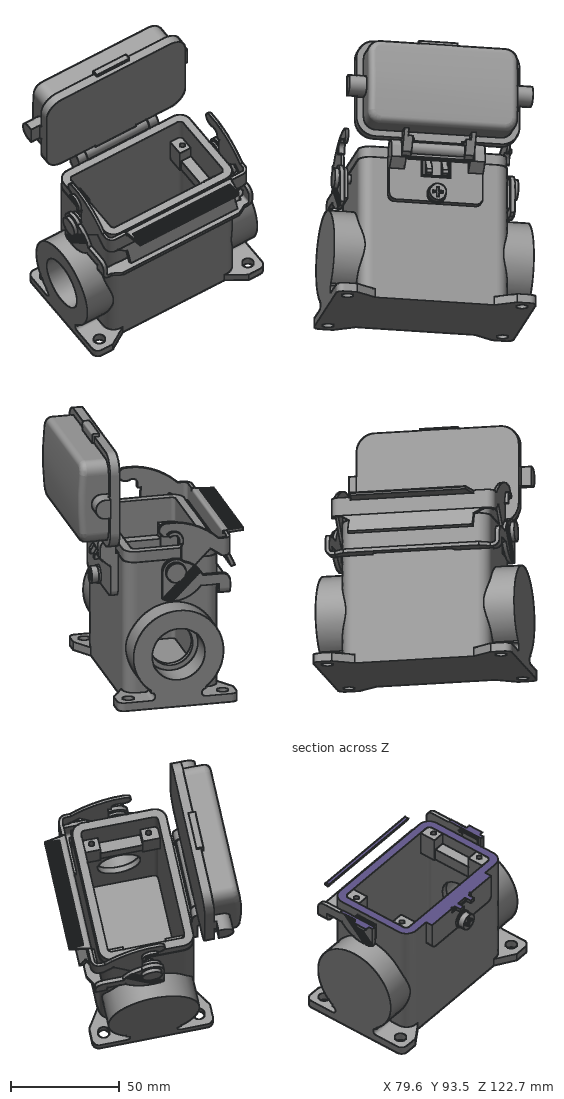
import cadquery as cq
import math


BODY_X, BODY_Y, BODY_TOP = 44.7, 70.0, 73.0
BODY_RADIUS = 5.8
RIM_HEIGHT, RIM_STEP = 5.2, 0.2

BASE_X, TOTAL_Y, BASE_THICK = 56.7, 93.5, 4.0
BASE_RADIUS = 3.2
TAB_END_Y = 37.4
TAB_ROOT_Y = 28.0
SCREW_HOLE_X, SCREW_HOLE_Y, SCREW_HOLE_R = 22.3, 40.9, 2.7
BOSS_R, BOSS_Z = 21.4, 25.7
NECK_X = 22.1
NECK_NOTCH_R = 1.8
BORE_R, BORE_DEPTH, BORE_INNER_R = 12.5, 13.1, 10.1

CAVITY_X, CAVITY_Y, CAVITY_RADIUS = 36.1, 61.6, 1.8
LEDGE_BOTTOM, LEDGE_TOP, POST_TOP = 49.1, 55.2, 61.4
POST_X, POST_Y, LEDGE_Y = 8.1, 6.0, 5.3
POST_HOLE_X, POST_HOLE_Y, POST_HOLE_R, POST_HOLE_DEPTH = 13.4, 28.5, 1.2, 7.4

COVER_BACK_X, FLANGE_THICK = -25.7, 4.5
FLANGE_Y, FLANGE_BOTTOM, FLANGE_TOP, FLANGE_RADIUS = 76.3, 75.4, 121.3, 8.6
COVER_Z = 98.2
CAP_Y, CAP_Z, CAP_RADIUS, CAP_EDGE_RADIUS = 70.0, 39.6, 5.8, 3.0
CAP_END_X, CAP_CROWN_X = -42.7, -44.0
PIN_R, PIN_X, PIN_FLAT_X, PIN_END_Y = 4.5, -33.6, -31.2, 43.0
GRIP_Y, GRIP_FRONT_X, GRIP_BACK_X, GRIP_TOP, GRIP_DROP = 17.9, -31.3, -28.0, 122.7, 4.4
GRIP_RADIUS = 1.0

PLATE_FRONT_X, PLATE_Y, PLATE_BOTTOM, PLATE_TOP, PLATE_RADIUS = -25.8, 43.8, 47.0, 66.8, 3.0
TONGUE_FRONT_X, TONGUE_TOP = -23.7, 68.4
HINGE_X, HINGE_Z, EYE_R, BARREL_R = -27.0, 71.4, 3.7, 3.1
EYE_BACK_X = -23.3
EYE_INNER_Y, EAR_INNER_Y = 17.0, 15.0
ARM_INNER_Y, ARM_UPPER_INNER_Y, ARM_OUTER_Y = 12.5, 14.7, 16.8
LUG_Y, LUG_BOTTOM = 22.3, 74.3
WEB_X, WEB_BOTTOM = 2.5, 67.4
CLIP_Y, CLIP_BOTTOM, CLIP_GROOVE = 13.7, 58.9, 0.6
PRONG_INNER_Y, PRONG_OUTER_Y = 2.5, 5.2
PLATE_SCREW_Z, SCREW_R, WASHER_R = 50.6, 3.9, 4.3
SCREW_FRONT_X, WASHER_FRONT_X = -30.0, -26.8
CROSS_LENGTH, CROSS_WIDTH, CROSS_DEPTH = 4.7, 1.1, 1.0

PIVOT_Z, RIVET_R, RIVET_HEAD_R, RIVET_END_Y = 64.0, 2.1, 4.7, 43.0
CATCH_INNER_Y, CATCH_OUTER_Y = 39.0, 41.0
CATCH_HUB_R = 6.0
NOSE_X, NOSE_INNER_X, NOSE_BEND_R = 26.0, 20.7, 3.2
CROSSBAR_BOTTOM, CROSSBAR_THICK = 50.9, 1.7
LEVER_INNER_Y, LEVER_OUTER_Y, LEVER_HUB_R, LEVER_FOOT = 37.2, 38.5, 5.2, 53.0
BAND_INNER_X, BAND_OUTER_X, BAND_BOTTOM, BAND_TOP = 25.5, 27.2, 69.0, 77.5
BEND_RADIUS = 3.7
HANDLE_END_X, HANDLE_THICK, HANDLE_ROOT_Y, HANDLE_END_Y = 35.6, 1.4, 29.0, 27.1
HANDLE_BEND_R = 1.2
HANDLE_GROOVES, HANDLE_GROOVE_START_X, HANDLE_GROOVE_PITCH = 9, 28.8, 0.7
HANDLE_GROOVE_WIDTH, HANDLE_GROOVE_DEPTH, HANDLE_GROOVE_Y = 0.4, 0.2, 53.5
FLAP_TOP_Y, FLAP_LOWER_Y, FLAP_SHOULDER_Z, FLAP_BOTTOM = 33.8, 29.3, 66.3, 59.8
HOOK_SLOT_X, HOOK_SLOT_Z, HOOK_SLOT_R, NECK_TOP = -0.4, 78.7, 2.6, 76.8
LIP_WIDTH, LIP_OUTER_Y = 1.7, 40.0

DIAGONAL = math.sqrt(0.5)
OVERLAP = 0.6


def box(x0, x1, y0, y1, z0, z1):
    return cq.Workplane("XY").box(x1 - x0, y1 - y0, z1 - z0, centered=False).translate((x0, y0, z0))


def cylinder_y(x, z, radius, y0, y1):
    return cq.Workplane("XZ", origin=(0, y0, 0)).center(x, z).circle(radius).extrude(y0 - y1)


def cylinder_x(y, z, radius, x0, x1):
    return cq.Workplane("YZ", origin=(x0, 0, 0)).center(y, z).circle(radius).extrude(x1 - x0)


def side_profile(y0):
    """Sketch plane in X and Z; extrude(-thickness) grows toward +Y."""
    return cq.Workplane("XZ", origin=(0, y0, 0))


def both_ends(piece):
    return piece.union(piece.mirror("XZ"))


def four_corners(piece):
    return both_ends(piece.union(piece.mirror("YZ")))


def base_plate():
    half_x, half_y = BASE_X / 2, TOTAL_Y / 2
    wall_x = BODY_X / 2
    half = (
        cq.Workplane("XY")
        .polyline([
            (-half_x, half_y), (half_x, half_y), (half_x, TAB_END_Y), (wall_x, TAB_ROOT_Y),
            (wall_x, -OVERLAP), (-wall_x, -OVERLAP), (-wall_x, TAB_ROOT_Y), (-half_x, TAB_END_Y),
        ])
        .close()
        .extrude(BASE_THICK)
        .edges("|Z and >Y")
        .fillet(BASE_RADIUS)
    )
    hole = cq.Workplane("XY").center(SCREW_HOLE_X, SCREW_HOLE_Y).circle(SCREW_HOLE_R).extrude(BASE_THICK)
    return both_ends(half).cut(four_corners(hole))


def body_block():
    block = cq.Workplane("XY").rect(BODY_X, BODY_Y).extrude(BODY_TOP - RIM_HEIGHT)
    rim = (
        cq.Workplane("XY", origin=(0, 0, BODY_TOP - RIM_HEIGHT))
        .rect(BODY_X - 2 * RIM_STEP, BODY_Y - 2 * RIM_STEP)
        .extrude(RIM_HEIGHT)
    )
    return block.edges("|Z").fillet(BODY_RADIUS).union(rim.edges("|Z").fillet(BODY_RADIUS - RIM_STEP))


def cable_boss():
    """Round entry boss standing on a necked foot, running the full length."""
    half_y = TOTAL_Y / 2
    boss = cylinder_y(0, BOSS_Z, BOSS_R, -half_y, half_y)
    notch_x = NECK_X / 2 + NECK_NOTCH_R
    foot = box(-notch_x, notch_x, -half_y, half_y, 0, BOSS_Z - BOSS_R / 2)
    notch = cylinder_y(notch_x, BASE_THICK + NECK_NOTCH_R, NECK_NOTCH_R, -half_y, half_y)
    return boss.union(foot).cut(notch.union(notch.mirror("YZ")))


def cavity():
    room = (
        cq.Workplane("XY", origin=(0, 0, BASE_THICK))
        .rect(CAVITY_X, CAVITY_Y)
        .extrude(BODY_TOP - BASE_THICK)
        .edges("|Z")
        .fillet(CAVITY_RADIUS)
    )
    end_x, end_y = CAVITY_X / 2, CAVITY_Y / 2
    ledge = box(-end_x, end_x, end_y - LEDGE_Y, end_y, LEDGE_BOTTOM, LEDGE_TOP)
    post = box(end_x - POST_X, end_x, end_y - POST_Y, end_y, LEDGE_BOTTOM, POST_TOP)
    post_hole = (
        cq.Workplane("XY", origin=(POST_HOLE_X, POST_HOLE_Y, POST_TOP - POST_HOLE_DEPTH))
        .circle(POST_HOLE_R)
        .extrude(POST_HOLE_DEPTH)
    )
    return room.cut(both_ends(ledge)).cut(four_corners(post)).union(four_corners(post_hole))


def cable_bore():
    """Stepped entry bore at the -Y end, open to the cavity."""
    end_y = -TOTAL_Y / 2
    shoulder_y = end_y + BORE_DEPTH
    outer = cylinder_y(0, BOSS_Z, BORE_R, end_y, shoulder_y)
    inner = cylinder_y(0, BOSS_Z, BORE_INNER_R, shoulder_y, -CAVITY_Y / 2 + OVERLAP)
    return outer.union(inner)


def housing():
    solid = base_plate().union(body_block()).union(cable_boss())
    return solid.cut(cavity()).cut(cable_bore())


def hinge_plate():
    half_y = PLATE_Y / 2
    wall_x = -BODY_X / 2 + OVERLAP
    plate = box(PLATE_FRONT_X, wall_x, -half_y, half_y, PLATE_BOTTOM, PLATE_TOP)
    plate = plate.edges("|X and <Z").fillet(PLATE_RADIUS)
    tongue = box(TONGUE_FRONT_X, wall_x, -half_y, half_y, PLATE_TOP - OVERLAP, TONGUE_TOP)

    groove = box(PLATE_FRONT_X, PLATE_FRONT_X + CLIP_GROOVE, -CLIP_Y / 2, CLIP_Y / 2, CLIP_BOTTOM, PLATE_TOP)
    island_y = CLIP_Y / 2 - CLIP_GROOVE
    island_z = CLIP_BOTTOM + CLIP_GROOVE
    island = box(PLATE_FRONT_X, PLATE_FRONT_X + CLIP_GROOVE, -island_y, island_y, island_z, PLATE_TOP)
    return plate.cut(groove.cut(island)).union(tongue)


def clip_prong():
    nose_x, nose_bottom, nose_top = -29.1, 59.9, 61.6
    root_x = PLATE_FRONT_X + OVERLAP
    return (
        side_profile(PRONG_INNER_Y)
        .polyline([
            (root_x, PLATE_TOP), (PLATE_FRONT_X, PLATE_TOP), (nose_x, nose_top),
            (nose_x, nose_bottom), (root_x, nose_bottom),
        ])
        .close()
        .extrude(PRONG_INNER_Y - PRONG_OUTER_Y)
    )


def hinge_ear():
    """Rounded ear beside the cover arms, with a slanted foot down to the plate."""
    front_x = HINGE_X - EYE_R
    slant_top, slant_bottom = 66.0, 61.9
    outer_y = PLATE_Y / 2

    def ear_slice(y0, top):
        return (
            side_profile(y0)
            .polyline([
                (front_x, top), (front_x, slant_top), (PLATE_FRONT_X, slant_bottom),
                (EYE_BACK_X, slant_bottom), (EYE_BACK_X, top),
            ])
            .close()
            .extrude(y0 - outer_y)
        )

    eye = cylinder_y(HINGE_X, HINGE_Z, EYE_R, EYE_INNER_Y, outer_y)
    return eye.union(ear_slice(EYE_INNER_Y, HINGE_Z)).union(ear_slice(EAR_INNER_Y, PLATE_TOP))


def plate_screw():
    washer = cylinder_x(0, PLATE_SCREW_Z, WASHER_R, WASHER_FRONT_X, PLATE_FRONT_X)
    head = cylinder_x(0, PLATE_SCREW_Z, SCREW_R, SCREW_FRONT_X, WASHER_FRONT_X)
    long, short = CROSS_LENGTH / 2, CROSS_WIDTH / 2
    floor_x = SCREW_FRONT_X + CROSS_DEPTH
    for half_y, half_z in ((long, short), (short, long)):
        slot = box(SCREW_FRONT_X, floor_x, -half_y, half_y, PLATE_SCREW_Z - half_z, PLATE_SCREW_Z + half_z)
        head = head.cut(slot)
    return washer.union(head)


def hinge():
    half_y = PLATE_Y / 2
    barrel = cylinder_y(HINGE_X, HINGE_Z, BARREL_R, -half_y, half_y)
    web = box(HINGE_X - WEB_X / 2, HINGE_X + WEB_X / 2, -ARM_OUTER_Y, ARM_OUTER_Y, WEB_BOTTOM, HINGE_Z)
    solid = hinge_plate().union(both_ends(clip_prong())).union(both_ends(hinge_ear()))
    return solid.union(barrel).union(web).union(plate_screw())


def cover_flange():
    plate = box(
        COVER_BACK_X - FLANGE_THICK, COVER_BACK_X, -FLANGE_Y / 2, FLANGE_Y / 2, FLANGE_BOTTOM, FLANGE_TOP
    )
    return plate.edges("|X").fillet(FLANGE_RADIUS)


def cover_cap():
    back_x = COVER_BACK_X - FLANGE_THICK + OVERLAP
    bottom, top = COVER_Z - CAP_Z / 2, COVER_Z + CAP_Z / 2
    cap = (
        side_profile(-CAP_Y / 2)
        .moveTo(back_x, bottom)
        .lineTo(CAP_END_X, bottom)
        .threePointArc((CAP_CROWN_X, COVER_Z), (CAP_END_X, top))
        .lineTo(back_x, top)
        .close()
        .extrude(-CAP_Y)
    )
    return cap.edges("|X").fillet(CAP_RADIUS).faces("<X").edges().fillet(CAP_EDGE_RADIUS)


def cover_pin():
    """Locking pin with a flat toward the flange, backed by a shoulder block."""
    flange_x = COVER_BACK_X - FLANGE_THICK
    root_y = CAP_Y / 2 - OVERLAP
    bottom, top = COVER_Z - PIN_R, COVER_Z + PIN_R
    pin = cylinder_y(PIN_X, COVER_Z, PIN_R, root_y, PIN_END_Y)
    pin = pin.union(box(PIN_X, PIN_FLAT_X, root_y, PIN_END_Y, bottom, top))
    pin = pin.cut(box(PIN_FLAT_X, flange_x + PIN_R, root_y, PIN_END_Y, bottom, top))
    return pin.union(box(PIN_X, flange_x + OVERLAP, root_y, FLANGE_Y / 2, bottom, top))


def cover_grip():
    flange_x = COVER_BACK_X - FLANGE_THICK
    grip = box(GRIP_FRONT_X, GRIP_BACK_X, -GRIP_Y / 2, GRIP_Y / 2, GRIP_TOP - GRIP_DROP, GRIP_TOP)
    grip = grip.edges("|Y and <X and >Z").fillet(GRIP_RADIUS)
    return grip.cut(box(flange_x, GRIP_BACK_X, -GRIP_Y / 2, GRIP_Y / 2, GRIP_TOP - GRIP_DROP, FLANGE_TOP))


def cover_arm():
    """Slanted arm from the underside of the cap down to the hinge barrel, thinner beside the flange."""
    root_top = COVER_Z - CAP_Z / 2 + OVERLAP
    root_x = -36.1
    elbow_z = 68.7
    arm = (
        side_profile(ARM_INNER_Y)
        .polyline([
            (root_x, root_top), (HINGE_X - EYE_R, elbow_z), (HINGE_X - WEB_X / 2, WEB_BOTTOM),
            (HINGE_X, WEB_BOTTOM), (HINGE_X, root_top),
        ])
        .close()
        .extrude(ARM_INNER_Y - ARM_OUTER_Y)
    )
    return arm.cut(box(root_x, HINGE_X, ARM_INNER_Y, ARM_UPPER_INNER_Y, FLANGE_BOTTOM, root_top))


def cover_lug():
    """Middle of the flange edge, reaching down onto the hinge barrel."""
    front_x = COVER_BACK_X - FLANGE_THICK
    return box(front_x, COVER_BACK_X, -LUG_Y / 2, LUG_Y / 2, LUG_BOTTOM, FLANGE_BOTTOM + OVERLAP)


def cover():
    solid = cover_flange().union(cover_cap()).union(cover_grip()).union(cover_lug())
    return solid.union(both_ends(cover_pin())).union(both_ends(cover_arm()))


def rivet():
    shank = cylinder_y(0, PIVOT_Z, RIVET_R, BODY_Y / 2 - OVERLAP, RIVET_END_Y)
    return shank.union(cylinder_y(0, PIVOT_Z, RIVET_HEAD_R, CATCH_OUTER_Y, RIVET_END_Y))


def catch_side():
    """Flat catch plate: hub around the rivet and a hooked arm toward +X."""
    heel_z, sole_z = 50.9, 49.8
    nose_bottom = CROSSBAR_BOTTOM + NOSE_BEND_R
    arm_top, arm_bottom = 61.0, 56.1
    nose_radius = 3.7
    plate = (
        side_profile(CATCH_INNER_Y)
        .moveTo(-CATCH_HUB_R, PIVOT_Z)
        .lineTo(-CATCH_HUB_R, heel_z)
        .lineTo(-3.7, sole_z)
        .lineTo(1.7, sole_z)
        .threePointArc((7.6, 52.2), (12.0, arm_bottom))
        .lineTo(NOSE_INNER_X, arm_bottom)
        .lineTo(NOSE_INNER_X, nose_bottom)
        .lineTo(NOSE_X, nose_bottom)
        .lineTo(NOSE_X, arm_top - nose_radius)
        .threePointArc(
            (NOSE_X - nose_radius * (1 - DIAGONAL), arm_top - nose_radius * (1 - DIAGONAL)),
            (NOSE_X - nose_radius, arm_top),
        )
        .lineTo(13.1, arm_top)
        .threePointArc((9.3, 65.8), (CATCH_HUB_R * DIAGONAL, PIVOT_Z + CATCH_HUB_R * DIAGONAL))
        .threePointArc((0, PIVOT_Z + CATCH_HUB_R), (-CATCH_HUB_R, PIVOT_Z))
        .close()
        .extrude(CATCH_INNER_Y - CATCH_OUTER_Y)
    )
    groove_depth, groove_width, groove_length = 0.2, 0.6, 36.8
    for distance in (4.8, 6.0, 7.2, 8.5):
        groove = box(
            -groove_length / 2, groove_length / 2, CATCH_OUTER_Y - groove_depth, CATCH_OUTER_Y,
            -distance - groove_width, -distance,
        )
        plate = plate.cut(groove.rotate((0, 0, 0), (0, 1, 0), -45).translate((0, 0, PIVOT_Z)))
    return plate


def catch_bend():
    """Rounded bend from the catch plate into the crossbar."""
    inner_radius = NOSE_BEND_R - (CATCH_OUTER_Y - CATCH_INNER_Y)
    start_y = CATCH_OUTER_Y - NOSE_BEND_R - OVERLAP
    top = CROSSBAR_BOTTOM + NOSE_BEND_R
    floor = CROSSBAR_BOTTOM + CROSSBAR_THICK
    bend = box(NOSE_INNER_X, NOSE_X, start_y, CATCH_OUTER_Y, CROSSBAR_BOTTOM, top + OVERLAP)
    bend = bend.edges("|X and >Y and <Z").fillet(NOSE_BEND_R)
    inside = box(NOSE_INNER_X, NOSE_X, start_y, CATCH_INNER_Y, floor, top + OVERLAP)
    return bend.cut(inside.edges("|X and >Y and <Z").fillet(inner_radius))


def catch_crossbar():
    """Horizontal strip joining both catch bends, wider toward its ends."""
    outer_x, inner_x, end_x = 28.6, 24.8, 22.1
    wide_y, shoulder_y = 18.4, 31.9
    end_y = CATCH_OUTER_Y - NOSE_BEND_R
    half = (
        cq.Workplane("XY", origin=(0, 0, CROSSBAR_BOTTOM))
        .polyline([
            (outer_x, -OVERLAP), (outer_x, shoulder_y), (NOSE_X, end_y - 1.2), (NOSE_X, end_y),
            (end_x, end_y), (end_x, wide_y + 1.2), (inner_x, wide_y), (inner_x, -OVERLAP),
        ])
        .close()
        .extrude(CROSSBAR_THICK)
    )
    return both_ends(half)


def lever_side():
    """Flat lever plate: rivet hub, broad neck and an open hook for the cover pin."""
    hook_x, hook_z, hook_r = -3.8, 83.7, 3.2
    neck_x, neck_step = 3.5, 2.5
    bend_x = BAND_OUTER_X - BEND_RADIUS
    plate = (
        side_profile(LEVER_INNER_Y)
        .moveTo(neck_x, PIVOT_Z)
        .lineTo(neck_x, NECK_TOP - neck_step)
        .lineTo(HOOK_SLOT_X + HOOK_SLOT_R + LIP_WIDTH, NECK_TOP)
        .lineTo(HOOK_SLOT_X + HOOK_SLOT_R, NECK_TOP)
        .lineTo(HOOK_SLOT_X + HOOK_SLOT_R, HOOK_SLOT_Z)
        .threePointArc(
            (HOOK_SLOT_X, HOOK_SLOT_Z + HOOK_SLOT_R),
            (HOOK_SLOT_X - HOOK_SLOT_R * DIAGONAL, HOOK_SLOT_Z + HOOK_SLOT_R * DIAGONAL),
        )
        .lineTo(hook_x, hook_z - hook_r)
        .threePointArc((hook_x - hook_r, hook_z), (hook_x, hook_z + hook_r))
        .lineTo(1.2, hook_z + hook_r)
        .threePointArc((11.3, 84.1), (21.2, BAND_TOP))
        .lineTo(bend_x, BAND_TOP)
        .lineTo(bend_x, BAND_BOTTOM)
        .lineTo(22.5, BAND_BOTTOM)
        .lineTo(17.2, 72.8)
        .lineTo(4.9, 60.5)
        .close()
        .extrude(LEVER_INNER_Y - LEVER_OUTER_Y)
    )
    hub = cylinder_y(0, PIVOT_Z, LEVER_HUB_R, LEVER_INNER_Y, LEVER_OUTER_Y)
    foot = box(-LEVER_HUB_R, neck_x, LEVER_INNER_Y, LEVER_OUTER_Y, LEVER_FOOT, PIVOT_Z)
    return plate.union(hub).union(foot)


def hook_lip():
    """Raised lip around the hook opening: an arc running into a straight leg."""
    outer_r = HOOK_SLOT_R + LIP_WIDTH
    return (
        side_profile(LEVER_INNER_Y)
        .center(HOOK_SLOT_X, HOOK_SLOT_Z)
        .moveTo(HOOK_SLOT_R, NECK_TOP - HOOK_SLOT_Z)
        .lineTo(HOOK_SLOT_R, 0)
        .threePointArc((0, HOOK_SLOT_R), (-HOOK_SLOT_R * DIAGONAL, HOOK_SLOT_R * DIAGONAL))
        .lineTo(-outer_r * DIAGONAL, outer_r * DIAGONAL)
        .threePointArc((0, outer_r), (outer_r, 0))
        .lineTo(outer_r, NECK_TOP - HOOK_SLOT_Z)
        .close()
        .extrude(LEVER_INNER_Y - LIP_OUTER_Y)
    )


def lever_band():
    """Cross band joining both lever plates, with rounded bends at the corners."""
    reach = BEND_RADIUS + OVERLAP
    outer = box(BAND_OUTER_X - reach, BAND_OUTER_X, -LEVER_OUTER_Y, LEVER_OUTER_Y, BAND_BOTTOM, BAND_TOP)
    inner = box(BAND_OUTER_X - reach, BAND_INNER_X, -LEVER_INNER_Y, LEVER_INNER_Y, BAND_BOTTOM, BAND_TOP)
    inner_radius = BEND_RADIUS - (BAND_OUTER_X - BAND_INNER_X)
    outer = outer.edges("|Z and >X").fillet(BEND_RADIUS)
    band = outer.cut(inner.edges("|Z and >X").fillet(inner_radius))
    handle_seat = box(
        BAND_INNER_X, BAND_OUTER_X, -HANDLE_ROOT_Y, HANDLE_ROOT_Y, BAND_TOP - HANDLE_THICK, BAND_TOP
    )
    return band.cut(handle_seat)


def lever_handle():
    handle = (
        cq.Workplane("XY", origin=(0, 0, BAND_TOP - HANDLE_THICK))
        .polyline([
            (BAND_INNER_X, -HANDLE_ROOT_Y), (HANDLE_END_X, -HANDLE_END_Y),
            (HANDLE_END_X, HANDLE_END_Y), (BAND_INNER_X, HANDLE_ROOT_Y),
        ])
        .close()
        .extrude(HANDLE_THICK)
        .edges("|Y and <X and >Z")
        .fillet(HANDLE_BEND_R)
    )
    half_y = HANDLE_GROOVE_Y / 2
    floor = BAND_TOP - HANDLE_GROOVE_DEPTH
    for index in range(HANDLE_GROOVES):
        x = HANDLE_GROOVE_START_X + index * HANDLE_GROOVE_PITCH
        handle = handle.cut(box(x, x + HANDLE_GROOVE_WIDTH, -half_y, half_y, floor, BAND_TOP))
    return handle


def lever_flap():
    """Slanted flap hanging from the band, narrowing below its shoulders."""
    flap = (
        side_profile(-FLAP_TOP_Y)
        .polyline([
            (BAND_INNER_X, BAND_BOTTOM + OVERLAP), (BAND_OUTER_X, BAND_BOTTOM + OVERLAP),
            (BAND_OUTER_X, BAND_BOTTOM), (31.3, 60.4), (29.5, FLAP_BOTTOM), (BAND_INNER_X, BAND_BOTTOM),
        ])
        .close()
        .extrude(-2 * FLAP_TOP_Y)
    )
    shoulder = (
        cq.Workplane("YZ")
        .polyline([
            (FLAP_TOP_Y, BAND_BOTTOM), (FLAP_LOWER_Y, FLAP_SHOULDER_Z),
            (FLAP_LOWER_Y, FLAP_BOTTOM), (FLAP_TOP_Y, FLAP_BOTTOM),
        ])
        .close()
        .extrude(HANDLE_END_X)
    )
    return flap.cut(both_ends(shoulder))


result = housing().union(hinge()).union(cover())
result = result.union(both_ends(rivet()))
result = result.union(both_ends(catch_side().union(catch_bend()))).union(catch_crossbar())
result = result.union(both_ends(lever_side().union(hook_lip())))
result = result.union(lever_band()).union(lever_handle()).union(lever_flap())